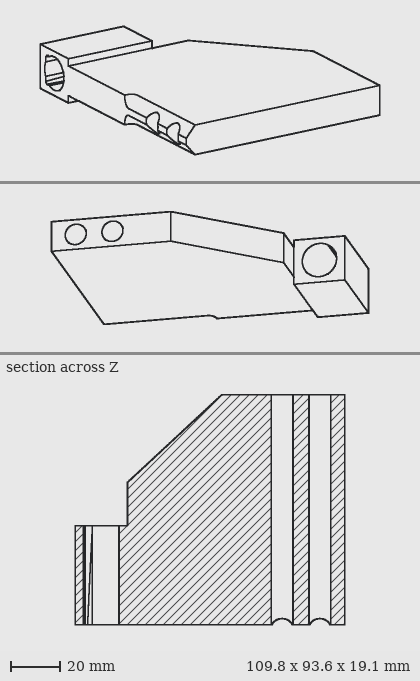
import cadquery as cq
import math

total_length = 109.8
plate_depth = 93.6
plate_thickness = 12.8
bevel_start_y = 58.0
bevel_end_x = 59.7

block_width = 21.3
block_depth = 40.4
block_height = 19.1

bore_diameter = 14.4
bore_x = block_width / 2
relief_mouth_diameter = 16.7
relief_half_width = 6.5
relief_half_height = 6.3

chamfer_height = 4.9
chamfer_depth = 4.3
chamfer_start_x = 63.5
chamfer_end_radius = 3.0

edge_hole_diameter = 8.8
edge_hole_positions = (84.2, 99.5)


def make_plate():
    """Pentagonal plate with its rear left corner cut away."""
    outline = [
        (block_width, 0),
        (total_length, 0),
        (total_length, plate_depth),
        (bevel_end_x, plate_depth),
        (block_width, bevel_start_y),
    ]
    return cq.Workplane("XY").polyline(outline).close().extrude(plate_thickness / 2, both=True)


def make_block():
    return cq.Workplane("XY").box(block_width, block_depth, block_height, centered=(False, False, True))


def y_cylinder(x, diameter, depth):
    """Cylinder starting on the front face and running toward +Y."""
    return cq.Workplane("XZ").center(x, 0).circle(diameter / 2).extrude(-depth)


def make_bore_relief():
    """Left half of a square bar trimmed by a cone, so its corners fade into the bore at the back."""
    cone = (
        cq.Workplane("XZ")
        .center(bore_x, 0)
        .circle(relief_mouth_diameter / 2)
        .workplane(offset=-block_depth)
        .circle(bore_diameter / 2)
        .loft(ruled=True)
    )
    bar = (
        cq.Workplane("XY")
        .box(relief_half_width, block_depth, 2 * relief_half_height, centered=(False, False, True))
        .translate((bore_x - relief_half_width, 0, 0))
    )
    return cone.intersect(bar)


def make_chamfer_cutter():
    """Upper chamfer cutter, with a rounded inner edge at its left end."""
    slope_length = math.hypot(chamfer_depth, chamfer_height)
    slope_plane = cq.Plane(
        origin=(chamfer_start_x, 0, plate_thickness / 2 - chamfer_height),
        xDir=(1, 0, 0),
        normal=(0, -chamfer_height, chamfer_depth),
    )
    cutter_length = total_length - chamfer_start_x
    cutter = cq.Workplane(slope_plane).box(
        cutter_length, 3 * slope_length, slope_length, centered=(False, True, False)
    )
    return cutter.edges(cq.selectors.NearestToPointSelector(slope_plane.origin.toTuple())).fillet(
        chamfer_end_radius
    )


result = make_plate().union(make_block())
result = result.cut(y_cylinder(bore_x, bore_diameter, block_depth))
result = result.cut(make_bore_relief())

upper_chamfer = make_chamfer_cutter()
result = result.cut(upper_chamfer).cut(upper_chamfer.mirror("XY"))

for hole_x in edge_hole_positions:
    result = result.cut(y_cylinder(hole_x, edge_hole_diameter, plate_depth))